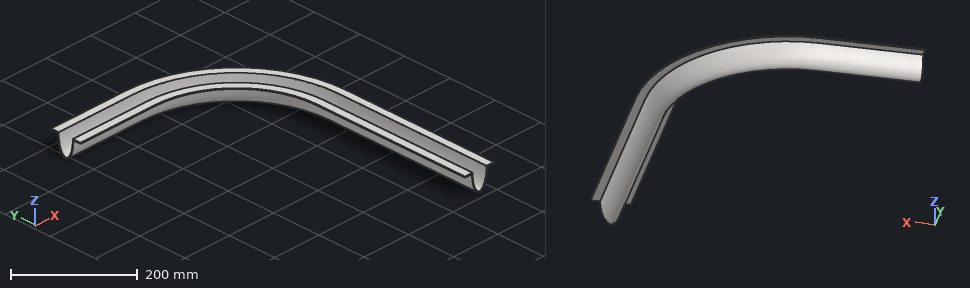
import cadquery as cq
import math

length_x = 414.0
length_y = 574.0
height = 42.0

section_width = 65.5
sheet_thickness = 2.0
trough_inner_half_width = 15.5

outer_bend_radius = 245.5

half_width = section_width / 2
bend_radius = outer_bend_radius - half_width
leg_x = length_x - outer_bend_radius
leg_y = length_y - outer_bend_radius
trough_outer_half_width = trough_inner_half_width + sheet_thickness
trough_inner_depth = height - sheet_thickness

joint_drop = sheet_thickness / height
joint_half_width = trough_outer_half_width * math.sqrt(1 - joint_drop**2)
joint_angle = math.degrees(math.asin(joint_drop))


def section(plane):
    """Trough outline with the flange tops on Z = 0, centred across the plane."""
    return (
        cq.Workplane(plane)
        .moveTo(-half_width, 0)
        .lineTo(-half_width, -sheet_thickness)
        .lineTo(-joint_half_width, -sheet_thickness)
        .ellipseArc(
            trough_outer_half_width, height, 180 + joint_angle, 360 - joint_angle, startAtCurrent=True
        )
        .lineTo(half_width, -sheet_thickness)
        .lineTo(half_width, 0)
        .lineTo(trough_inner_half_width, 0)
        .ellipseArc(
            trough_inner_half_width, trough_inner_depth, 180, 360, startAtCurrent=True, sense=-1
        )
        .close()
    )


bend_start = cq.Plane(origin=(0, bend_radius, 0), xDir=(0, 1, 0), normal=(1, 0, 0))
bend_end = cq.Plane(origin=(bend_radius, 0, 0), xDir=(1, 0, 0), normal=(0, -1, 0))

first_leg = section(bend_start).extrude(-leg_x)
second_leg = section(bend_end).extrude(leg_y)
bend = section(bend_end).revolve(90, (-bend_radius, 0), (-bend_radius, 1))

result = first_leg.union(bend).union(second_leg)